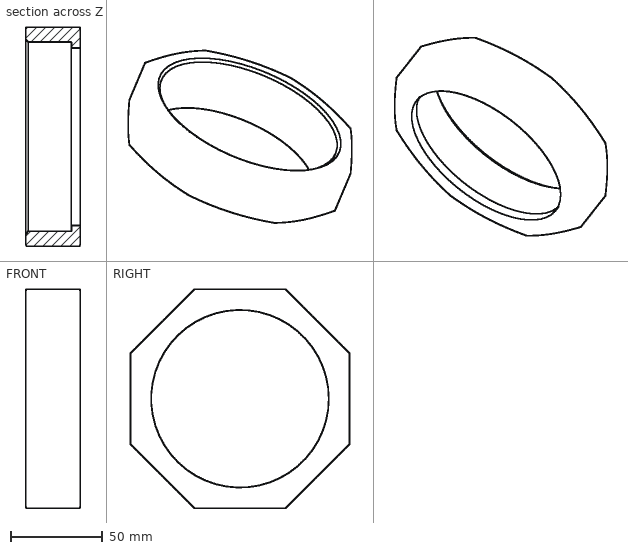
import cadquery as cq
import math

width = 30.0
across_flats = 120.0
sides = 8
face_diameter = 118.0
bevel_angle = 22.0
edge_radius = 0.5
bore_diameter = 103.4
mouth_diameter = 106.6
mouth_depth = 1.5
lip_diameter = 97.0
lip_thickness = 5.0
seat_radius = 0.25
bevel_overrun = 1.0

across_corners = across_flats / math.cos(math.pi / sides)
half_width = width / 2
seat_x = half_width - lip_thickness


def revolve_about_x(profile):
    """Solid of revolution about X from (x, radius) points."""
    return cq.Workplane("XY").polyline(profile).close().revolve(360, (0, 0, 0), (1, 0, 0))


def octagon_prism():
    """Octagonal prism with flats facing Y and Z."""
    prism = cq.Workplane("YZ").polygon(sides, across_corners).extrude(half_width, both=True)
    return prism.rotate((0, 0, 0), (1, 0, 0), 180 / sides)


def bevel_envelope():
    """Disc with a cone at each end that bevels the octagon corners."""
    face_radius = face_diameter / 2
    rim_radius = across_corners / 2 + bevel_overrun
    bevel_depth = (rim_radius - face_radius) * math.tan(math.radians(bevel_angle))
    return revolve_about_x([
        (-half_width, 0),
        (-half_width, face_radius),
        (bevel_depth - half_width, rim_radius),
        (half_width - bevel_depth, rim_radius),
        (half_width, face_radius),
        (half_width, 0),
    ])


def stepped_opening():
    """Through opening: chamfered mouth, main bore, seat with rounded edges, narrower lip."""
    bore_radius = bore_diameter / 2
    opening = revolve_about_x([
        (-half_width, 0),
        (-half_width, mouth_diameter / 2),
        (mouth_depth - half_width, bore_radius),
        (seat_x, bore_radius),
        (seat_x, lip_diameter / 2),
        (half_width, lip_diameter / 2),
        (half_width, 0),
    ])
    seat_slice = cq.selectors.BoxSelector(
        (seat_x - seat_radius, -bore_radius, -bore_radius),
        (seat_x + seat_radius, bore_radius, bore_radius),
    )
    return opening.edges("%CIRCLE").edges(seat_slice).fillet(seat_radius)


blank = octagon_prism().intersect(bevel_envelope()).edges().fillet(edge_radius)
result = blank.cut(stepped_opening())